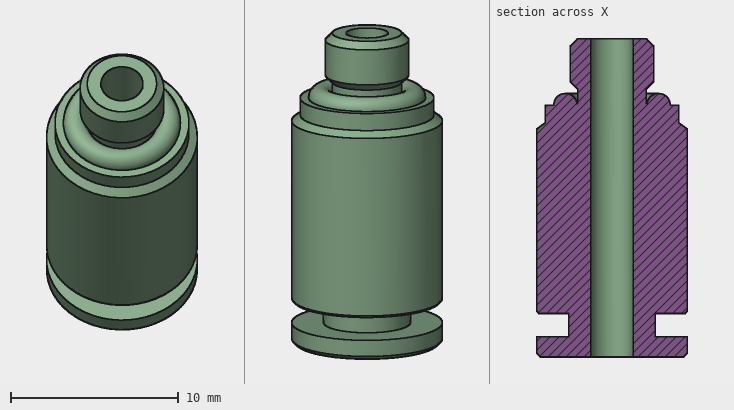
import cadquery as cq

body_diameter = 9.0
rim_diameter = 8.0
collar_diameter = 5.0
neck_diameter = 4.15
stem_diameter = 5.2
bore_diameter = 2.5
seal_ring_diameter = 7.0

flange_top = 1.22
body_bottom = 2.58
body_top = 13.62
rim_bottom = 13.98
rim_top = 15.03
collar_bottom = 16.0
total_height = 19.0

flange_chamfer = 0.23
body_chamfer = 0.13

body_radius = body_diameter / 2
rim_radius = rim_diameter / 2
collar_radius = collar_diameter / 2
neck_radius = neck_diameter / 2
stem_radius = stem_diameter / 2
seal_ring_radius = seal_ring_diameter / 2
collar_chamfer = collar_radius - neck_radius
seal_section_radius = (seal_ring_radius - neck_radius) / 2
seal_center_radius = neck_radius + seal_section_radius


def turned_body():
    """Solid of revolution about Z: release flange, stem, body, seal ring, neck and collar."""
    half_profile = (
        cq.Workplane("XZ")
        .moveTo(0, 0)
        .lineTo(body_radius - flange_chamfer, 0)
        .lineTo(body_radius, flange_chamfer)
        .lineTo(body_radius, flange_top)
        .lineTo(stem_radius, flange_top)
        .lineTo(stem_radius, body_bottom)
        .lineTo(body_radius - body_chamfer, body_bottom)
        .lineTo(body_radius, body_bottom + body_chamfer)
        .lineTo(body_radius, body_top)
        .lineTo(rim_radius, rim_bottom)
        .lineTo(rim_radius, rim_top)
        .lineTo(seal_ring_radius, rim_top)
        .threePointArc(
            (seal_center_radius, rim_top + seal_section_radius),
            (neck_radius, rim_top),
        )
        .lineTo(neck_radius, collar_bottom)
        .lineTo(collar_radius, collar_bottom + collar_chamfer)
        .lineTo(collar_radius, total_height - collar_chamfer)
        .lineTo(neck_radius, total_height)
        .lineTo(0, total_height)
        .close()
    )
    return half_profile.revolve(360, (0, 0, 0), (0, 1, 0))


def through_bore():
    """Straight bore along the whole axis."""
    return cq.Workplane("XY").circle(bore_diameter / 2).extrude(total_height)


result = turned_body().cut(through_bore())